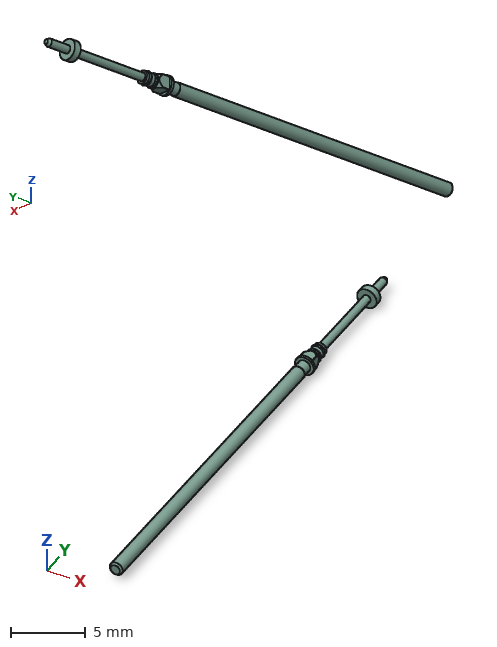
import cadquery as cq

TOTAL_LENGTH = 37.1
FLANGE_FACE = 11.1

PLUNGER_DIAMETER = 0.6
TIP_CHAMFER_LENGTH = 0.25
TIP_CHAMFER_DEPTH = 0.12
COLLAR_DIAMETER = 1.5
COLLAR_START = 1.95
COLLAR_LENGTH = 0.55

BARREL_DIAMETER = 1.0
BARREL_START = 8.85
END_CHAMFER = 0.14
NECK_DIAMETER = 0.94
NECK_END = 11.9
FLANGE_DIAMETER = 1.44
FLANGE_THICKNESS = 0.2

MOUTH_DIAMETER = 0.94
RIDGE_STARTS = (9.07, 9.63)
RIDGE_WIDTH = 0.24
RIDGE_HEIGHT = 0.06

SQUARE_WIDTH = 1.0
SQUARE_CORNER_DIAMETER = 1.38
SQUARE_START = 9.9
SQUARE_LEAD_LENGTH = 0.4


def along_y(distance):
    """Y coordinate of a station measured back from the plunger tip."""
    return FLANGE_FACE - distance


def cylinder(diameter, start, end):
    """Cylinder on the Y axis between two stations."""
    plane = cq.Workplane("XZ", origin=(0, along_y(start), 0))
    return plane.circle(diameter / 2).extrude(end - start)


def make_plunger():
    rod = cylinder(PLUNGER_DIAMETER, 0, BARREL_START)
    rod = rod.faces(">Y").chamfer(TIP_CHAMFER_LENGTH, TIP_CHAMFER_DEPTH)
    collar = cylinder(COLLAR_DIAMETER, COLLAR_START, COLLAR_START + COLLAR_LENGTH)
    return collar.union(rod)


def make_barrel():
    flange_start = FLANGE_FACE - FLANGE_THICKNESS
    mouth = cylinder(MOUTH_DIAMETER, BARREL_START, flange_start)
    flange = cylinder(FLANGE_DIAMETER, flange_start, FLANGE_FACE)
    neck = cylinder(NECK_DIAMETER, FLANGE_FACE, NECK_END)
    tube = cylinder(BARREL_DIAMETER, NECK_END, TOTAL_LENGTH).faces("<Y").chamfer(END_CHAMFER)
    return mouth.union(flange).union(neck).union(tube)


def make_ridge_ring(start):
    """Ring of triangular section forming one ridge."""
    radius = MOUTH_DIAMETER / 2
    profile = cq.Workplane("XY").polyline([
        (radius, along_y(start)),
        (radius + RIDGE_HEIGHT, along_y(start + RIDGE_WIDTH / 2)),
        (radius, along_y(start + RIDGE_WIDTH)),
    ]).close()
    return profile.revolve(360, (0, 0, 0), (0, 1, 0))


def make_square_seat():
    length = FLANGE_FACE - FLANGE_THICKNESS - SQUARE_START
    plane = cq.Workplane("XZ", origin=(0, along_y(SQUARE_START), 0))
    block = plane.rect(SQUARE_WIDTH, SQUARE_WIDTH).extrude(length)
    envelope = plane.circle(SQUARE_CORNER_DIAMETER / 2).extrude(length)
    lead_depth = (SQUARE_CORNER_DIAMETER - MOUTH_DIAMETER) / 2
    envelope = envelope.faces(">Y").chamfer(SQUARE_LEAD_LENGTH, lead_depth)
    return block.intersect(envelope)


barrel = make_barrel()
for ridge_start in RIDGE_STARTS:
    barrel = barrel.union(make_ridge_ring(ridge_start))

result = barrel.union(make_square_seat()).union(make_plunger())